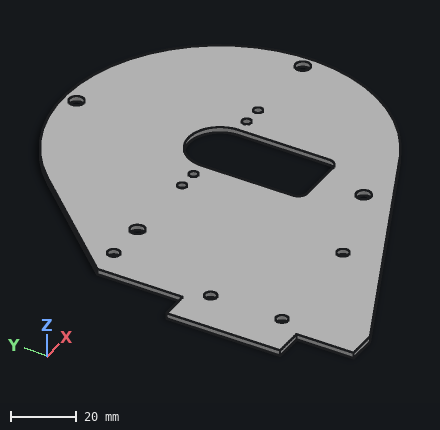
import cadquery as cq
import math

thickness = 2.0
disc_radius = 55.0
length = 145.0
width = 139.9

bottom_y = disc_radius - length
tab_x = disc_radius - width
tab_depth = 10.0
tab_top_y = -30.0
tab_bottom_y = -70.0
left_x = tab_x + tab_depth
bottom_edge_length = 10.0
bottom_corner_x = left_x + bottom_edge_length

window_radius = 11.0
window_bottom_y = -35.1
window_fillet = 3.0

ring_hole_diameter = 5.0
ring_radius = 50.5
side_hole_diameter = 4.0
side_holes = [(-65.0, 0), (-70.0, -37.0), (-70.0, -62.0), (-30.0, -60.5)]
small_hole_diameter = 3.0
small_hole_inner_x = 16.2
small_hole_outer_x = 23.2


def tangent_point(x, y, side):
    """Point where a line from (x, y) touches the disc; side is +1 or -1."""
    angle = math.atan2(y, x) + side * math.acos(disc_radius / math.hypot(x, y))
    return (disc_radius * math.cos(angle), disc_radius * math.sin(angle))


def make_plate():
    upper_tangent = tangent_point(left_x, 0, -1)
    lower_tangent = tangent_point(bottom_corner_x, bottom_y, 1)
    return (
        cq.Workplane("XY")
        .moveTo(left_x, 0)
        .lineTo(*upper_tangent)
        .threePointArc((disc_radius, 0), lower_tangent)
        .lineTo(bottom_corner_x, bottom_y)
        .lineTo(left_x, bottom_y)
        .lineTo(left_x, tab_bottom_y)
        .lineTo(tab_x, tab_bottom_y)
        .lineTo(tab_x, tab_top_y)
        .lineTo(left_x, tab_top_y)
        .close()
        .extrude(thickness)
    )


def make_window():
    return (
        cq.Workplane("XY")
        .moveTo(-window_radius, window_bottom_y)
        .lineTo(-window_radius, 0)
        .threePointArc((0, window_radius), (window_radius, 0))
        .lineTo(window_radius, window_bottom_y)
        .close()
        .extrude(thickness)
        .edges("|Z and <Y")
        .fillet(window_fillet)
    )


def make_holes(points, diameter):
    return cq.Workplane("XY").pushPoints(points).circle(diameter / 2).extrude(thickness)


ring_holes = [(ring_radius, 0), (0, ring_radius), (-ring_radius, 0), (0, -ring_radius)]
small_holes = [
    (side * x, 0) for side in (-1, 1) for x in (small_hole_inner_x, small_hole_outer_x)
]

result = make_plate().cut(make_window())
for points, diameter in (
    (ring_holes, ring_hole_diameter),
    (side_holes, side_hole_diameter),
    (small_holes, small_hole_diameter),
):
    result = result.cut(make_holes(points, diameter))